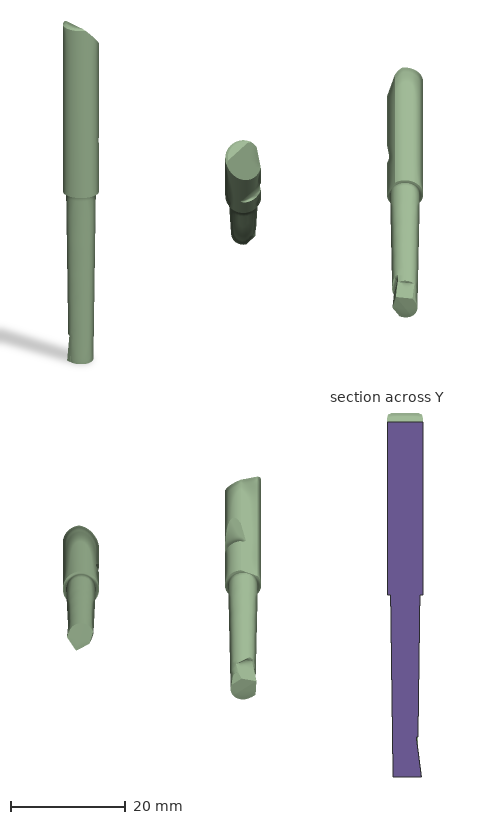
import cadquery as cq
import math

total_length = 63.5
shank_radius = 6.35 / 2
shank_length = total_length / 2
shank_base = total_length - shank_length
end_chamfer_height = 0.25
end_chamfer_width = 0.45

neck_tip_radius = 2.17
neck_top_radius = 2.6

flat_normal_angle = 150
flat_distance = shank_radius * math.cos(math.radians(180 - flat_normal_angle))

bevel_end_y = -1.45
notch_bottom = 40.65
notch_floor_y = 1.8
notch_round = 0.8
notch_angle = 10

clearance = 3 * shank_radius

nose_reach = 2.88
side_face_reach = 2.95
heel_y = -2.25
heel_end_x = -0.1
back_fill_y = 1.1
nose_lean = 0.13
side_face_end_x = -1.05
back_face_angle = 43

side_relief_top = 4.85
back_relief_top = 6.95
back_relief_flat = 0.9
back_relief_bevel_y = 2.05
back_relief_bevel_z = 5.2
end_relief_angle = 5
heel_relief_y = 1.85
heel_relief_height = 2.4


def leaning_prism(points, height):
    """Prism from Z = 0; each point is (x, y, leans), and leaning points move to +X as it rises."""
    shift = nose_lean * height
    lower = [(x, y) for x, y, leans in points]
    upper = [(x + shift if leans else x, y) for x, y, leans in points]
    prism = cq.Workplane("XY").polyline(lower).close()
    return prism.workplane(offset=height).polyline(upper).close().loft(ruled=True, combine=True)


def make_shank():
    shank = cq.Workplane("XY").workplane(offset=shank_base).circle(shank_radius).extrude(shank_length)
    return shank.faces(">Z").chamfer(end_chamfer_height, end_chamfer_width)


def make_flat_cutter():
    cutter = cq.Workplane("XY").box(clearance, clearance, total_length, centered=(False, True, False))
    cutter = cutter.translate((flat_distance, 0, shank_base))
    return cutter.rotate((0, 0, 0), (0, 0, 1), flat_normal_angle)


def make_bevel_cutter():
    rise = clearance - bevel_end_y
    profile = [
        (bevel_end_y, total_length),
        (clearance, total_length - rise),
        (clearance, total_length),
    ]
    return cq.Workplane("YZ").polyline(profile).close().extrude(clearance, both=True)


def make_notch_cutter():
    slope = math.tan(math.radians(notch_angle))
    depth_at_surface = clearance - notch_floor_y
    profile = [
        (notch_floor_y, notch_bottom),
        (clearance, notch_bottom),
        (clearance, notch_bottom + depth_at_surface / slope),
    ]
    cutter = cq.Workplane("YZ").polyline(profile).close().extrude(clearance, both=True)
    inner_corner = cq.selectors.NearestToPointSelector((0, notch_floor_y, notch_bottom))
    return cutter.edges(inner_corner).fillet(notch_round)


def make_neck():
    neck = cq.Workplane("XY").circle(neck_tip_radius)
    return neck.workplane(offset=shank_base).circle(neck_top_radius).loft(combine=True)


def back_face_point(distance_y):
    return -nose_reach + distance_y * math.tan(math.radians(back_face_angle)), distance_y


def side_face_point(x):
    run = (side_face_end_x + side_face_reach) / heel_y
    return x, (x + side_face_reach) / run


def make_back_relief_cutter():
    """Space in front of the sloping nose face on the +Y side."""
    far_x, far_y = back_face_point(clearance)
    prism = leaning_prism(
        [
            (-nose_reach, 0, True),
            (far_x, far_y, True),
            (-clearance, far_y, False),
            (-clearance, 0, False),
        ],
        back_relief_top,
    )
    profile = [
        (0, 0),
        (0, back_relief_top),
        (back_relief_flat, back_relief_top),
        (back_relief_bevel_y, back_relief_bevel_z),
        (clearance, back_relief_bevel_z),
        (clearance, 0),
    ]
    limit = cq.Workplane("YZ").polyline(profile).close().extrude(clearance, both=True)
    return prism.intersect(limit)


def make_side_relief_cutter():
    """Space in front of the sloping nose face on the -Y side."""
    far_x, far_y = side_face_point(shank_radius)
    return leaning_prism(
        [
            (-side_face_reach, 0, True),
            (far_x, far_y, True),
            (-clearance, far_y, False),
            (-clearance, 0, False),
        ],
        side_relief_top,
    )


def make_nose():
    """Wedge that carries the cutting edge out past the neck, with a narrow upright land at its tip."""
    back_x, back_y = back_face_point(back_fill_y)
    nose = leaning_prism(
        [
            (-side_face_reach, 0, True),
            (side_face_end_x, heel_y, True),
            (heel_end_x, heel_y, False),
            (0, 0, False),
        ],
        side_relief_top,
    )
    land_limit = cq.Workplane("XY").box(nose_reach, clearance, side_relief_top, centered=(False, True, False))
    nose = nose.intersect(land_limit.translate((-nose_reach, 0, 0)))
    back = leaning_prism(
        [(-nose_reach, 0, True), (0, 0, False), (back_x, back_y, True)],
        side_relief_top,
    )
    return nose.union(back)


def make_end_relief_cutter():
    rise = clearance * math.tan(math.radians(end_relief_angle))
    profile = [(0, 0), (clearance, 0), (clearance, rise)]
    return cq.Workplane("YZ").polyline(profile).close().extrude(clearance, both=True)


def make_heel_relief_cutter():
    """Sloping clearance on the +Y back of the tip."""
    profile = [
        (heel_relief_y, 0),
        (clearance, 0),
        (clearance, heel_relief_height),
        (neck_tip_radius, heel_relief_height),
    ]
    return cq.Workplane("YZ").polyline(profile).close().extrude(clearance, both=True)


shank = make_shank().cut(make_flat_cutter()).cut(make_bevel_cutter()).cut(make_notch_cutter())
neck = make_neck().cut(make_back_relief_cutter()).cut(make_side_relief_cutter())
tip = neck.union(make_nose()).cut(make_end_relief_cutter()).cut(make_heel_relief_cutter())
result = shank.union(tip)